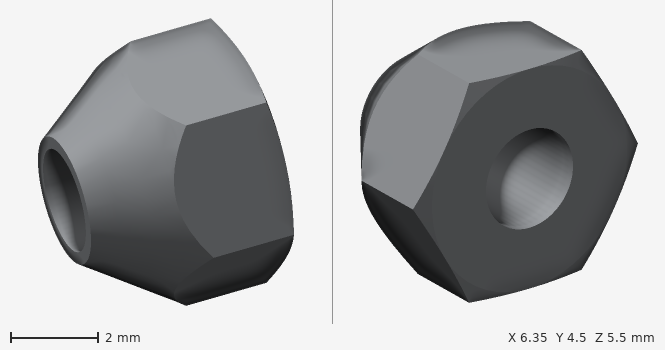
import cadquery as cq
import math

across_corners = 6.35
length = 4.5
bore_diameter = 2.46
nose_diameter = 3.05
seat_length = 2.34
chamfer_length = 0.16

corner_radius = across_corners / 2
flat_radius = corner_radius * math.cos(math.pi / 6)
nose_radius = nose_diameter / 2


def hexagon_bar():
    """Hexagonal bar with its nose end on Y = 0 and two corners on the X axis."""
    return cq.Workplane("XZ").polygon(6, across_corners).extrude(-length)


def turned_envelope():
    """Solid of revolution that cuts the conical seat and the back chamfer."""
    return (
        cq.Workplane("XY")
        .moveTo(0, 0)
        .lineTo(nose_radius, 0)
        .lineTo(corner_radius, seat_length)
        .lineTo(corner_radius, length - chamfer_length)
        .lineTo(flat_radius, length)
        .lineTo(0, length)
        .close()
        .revolve(360, (0, 0, 0), (0, 1, 0))
    )


def bore():
    return cq.Workplane("XZ").circle(bore_diameter / 2).extrude(-length)


result = hexagon_bar().intersect(turned_envelope()).cut(bore())